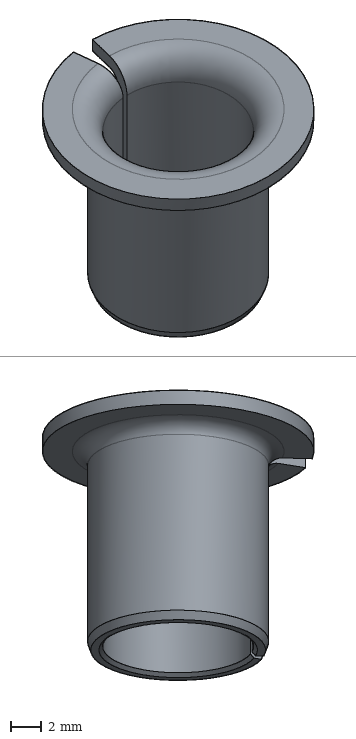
import cadquery as cq
import math

flange_radius = 8.97
height = 15.0
wall = 1.0
bore_radius = 4.99
sleeve_radius = bore_radius + wall

outer_bend = 1.0
inner_bend = outer_bend + wall

chamfer_height = 0.6
chamfer_angle = 20.0
chamfer_width = chamfer_height * math.tan(math.radians(chamfer_angle))

bore_chamfer = 0.25

slit_apex_radius = 3.95
slit_half_angle = 10.0


def flanged_sleeve():
    """Revolve the wall section, set on the slit side (-X), about Z; the lower end is at Z = 0."""
    bend_radius = bore_radius + inner_bend
    bend_height = height - inner_bend
    diagonal = math.sqrt(0.5)

    def bend_middle(radius):
        return (-bend_radius + radius * diagonal, bend_height + radius * diagonal)

    section = (
        cq.Workplane("XZ")
        .moveTo(-bore_radius, bore_chamfer)
        .lineTo(-bore_radius - bore_chamfer, 0)
        .lineTo(-sleeve_radius + chamfer_width, 0)
        .lineTo(-sleeve_radius, chamfer_height)
        .lineTo(-sleeve_radius, bend_height)
        .threePointArc(bend_middle(outer_bend), (-bend_radius, height - wall))
        .lineTo(-flange_radius, height - wall)
        .lineTo(-flange_radius, height)
        .lineTo(-bend_radius, height)
        .threePointArc(bend_middle(inner_bend), (-bore_radius, bend_height))
        .close()
    )
    return section.revolve(360, (0, 0, 0), (0, 1, 0))


def slit_wedge():
    """Full-height wedge that widens outward past the flange rim."""
    outer_x = -1.2 * flange_radius
    half_width = (-outer_x - slit_apex_radius) * math.tan(math.radians(slit_half_angle))
    return (
        cq.Workplane("XY")
        .moveTo(-slit_apex_radius, 0)
        .lineTo(outer_x, half_width)
        .lineTo(outer_x, -half_width)
        .close()
        .extrude(height)
    )


result = flanged_sleeve().cut(slit_wedge())